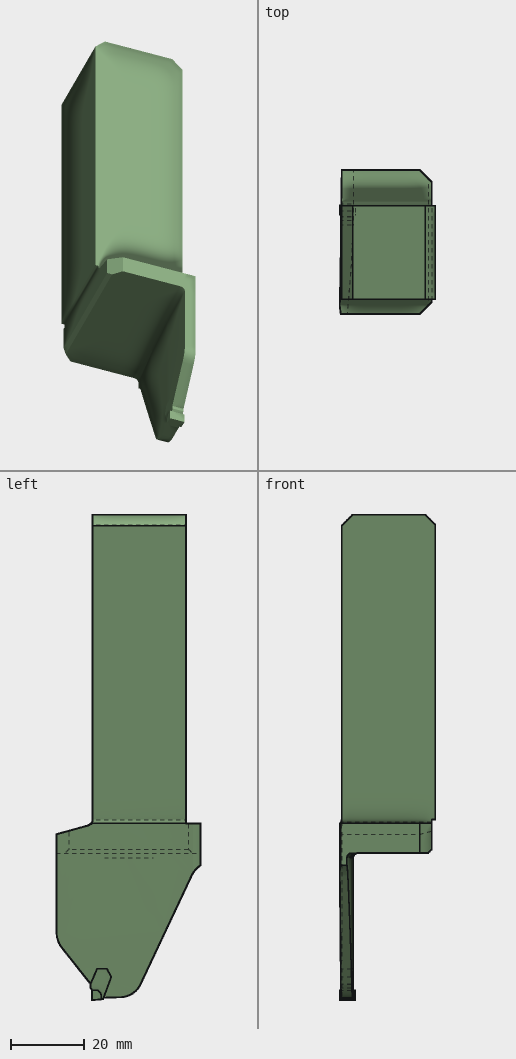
import cadquery as cq

TOTAL_HEIGHT = 131.7
SHANK_SIZE = 25.4
SHANK_LEFT = 0.5
SHANK_FRONT = 4.0
SHANK_BOTTOM = 49.0
LEFT_TOP_CHAMFER = 3.0
RIGHT_TOP_CHAMFER = 2.8
SHANK_RIGHT = SHANK_LEFT + SHANK_SIZE
SHANK_BACK = SHANK_FRONT + SHANK_SIZE

HEAD_DEPTH = 39.1
HEAD_RIGHT = 25.0
HEAD_TOP = 48.0
HEAD_UNDERSIDE = 39.9
HEAD_CORNER_CHAMFER = 3.3
HEAD_LOWER_CHAMFER = 1.0
BLADE_ROOT_RADIUS = 1.3
NECK_FOOT_LEFT = 0.3
NECK_FILLET_TOP = 48.5
SLOPE_TOP_Y = 30.5
SLOPE_TOP_Z = 47.4

BLADE_LEFT_FRONT = 0.3
BLADE_LEFT_BEVEL = 0.0
FRONT_BEVEL_DEPTH = 2.1
BLADE_LEFT_MIDDLE = 0.33
BLADE_LEFT_BACK = 0.5
BLADE_RIGHT_FRONT = 2.0
BLADE_RIGHT_MIDDLE = 3.4
BLADE_RIGHT_BACK = 3.7

INSERT_LEFT = BLADE_LEFT_BACK
INSERT_RIGHT = 3.7
TIP_LEFT = 0.0
TIP_RIGHT = 4.2
TIP_BACK = 29.5
TIP_TOP = 2.8
TIP_FRONT = 26.5
TIP_FRONT_BOTTOM = 0.3


def side_profile():
    """Outline of the head and blade in the YZ plane."""
    return (
        cq.Workplane("YZ")
        .moveTo(0, HEAD_TOP)
        .lineTo(SHANK_BACK, HEAD_TOP)
        .lineTo(SLOPE_TOP_Y, SLOPE_TOP_Z)
        .lineTo(HEAD_DEPTH, 45.0)
        .lineTo(HEAD_DEPTH, 18.5)
        .threePointArc((38.7, 16.2), (37.5, 14.1))
        .lineTo(29.9, 4.5)
        .lineTo(TIP_FRONT, 0.7)
        .lineTo(21.6, 0.8)
        .threePointArc((18.5, 1.8), (16.3, 4.2))
        .lineTo(2.6, 33.3)
        .threePointArc((1.5, 35.3), (0, 36.6))
        .close()
    )


def plan_profile(right_edge):
    """Start an XY outline with the bevelled and bowed left face, then add the right edge, back to front."""
    outline = (
        cq.Workplane("XY")
        .moveTo(BLADE_LEFT_FRONT, 0)
        .lineTo(BLADE_LEFT_BEVEL, FRONT_BEVEL_DEPTH)
        .threePointArc((BLADE_LEFT_MIDDLE, HEAD_DEPTH / 2), (BLADE_LEFT_BACK, HEAD_DEPTH))
    )
    return right_edge(outline).close().extrude(HEAD_TOP)


def blade_right_edge(outline):
    return outline.lineTo(BLADE_RIGHT_BACK, HEAD_DEPTH).threePointArc(
        (BLADE_RIGHT_MIDDLE, HEAD_DEPTH / 2), (BLADE_RIGHT_FRONT, 0)
    )


def block_right_edge(outline):
    chamfer_start = HEAD_RIGHT - HEAD_CORNER_CHAMFER
    return (
        outline.lineTo(chamfer_start, HEAD_DEPTH)
        .lineTo(HEAD_RIGHT, HEAD_DEPTH - HEAD_CORNER_CHAMFER)
        .lineTo(HEAD_RIGHT, HEAD_CORNER_CHAMFER)
        .lineTo(chamfer_start, 0)
    )


def make_head():
    """Block and blade joined with a root fillet, trimmed to the side profile."""
    block_section = (
        cq.Workplane("XZ")
        .moveTo(0, HEAD_UNDERSIDE)
        .lineTo(HEAD_RIGHT - HEAD_LOWER_CHAMFER, HEAD_UNDERSIDE)
        .lineTo(HEAD_RIGHT, HEAD_UNDERSIDE + HEAD_LOWER_CHAMFER)
        .lineTo(HEAD_RIGHT, HEAD_TOP)
        .lineTo(0, HEAD_TOP)
        .close()
        .extrude(-HEAD_DEPTH)
    )
    block = plan_profile(block_right_edge).intersect(block_section)
    blade = plan_profile(blade_right_edge)
    blade_root = cq.selectors.BoxSelector(
        (BLADE_RIGHT_FRONT, 0, HEAD_UNDERSIDE - BLADE_ROOT_RADIUS / 2),
        (BLADE_RIGHT_BACK, HEAD_DEPTH, HEAD_UNDERSIDE + BLADE_ROOT_RADIUS / 2),
    )
    head = block.union(blade).edges(blade_root).fillet(BLADE_ROOT_RADIUS)
    return head.intersect(side_profile().extrude(HEAD_RIGHT))


def make_shank():
    """Bar with its neck, which is narrower on the right and flares slightly on the left."""
    return (
        cq.Workplane("XZ", origin=(0, SHANK_FRONT, 0))
        .moveTo(NECK_FOOT_LEFT, HEAD_TOP)
        .lineTo(SHANK_LEFT, SHANK_BOTTOM)
        .lineTo(SHANK_LEFT, TOTAL_HEIGHT - LEFT_TOP_CHAMFER)
        .lineTo(SHANK_LEFT + LEFT_TOP_CHAMFER, TOTAL_HEIGHT)
        .lineTo(SHANK_RIGHT - RIGHT_TOP_CHAMFER, TOTAL_HEIGHT)
        .lineTo(SHANK_RIGHT, TOTAL_HEIGHT - RIGHT_TOP_CHAMFER)
        .lineTo(SHANK_RIGHT, SHANK_BOTTOM)
        .lineTo(HEAD_RIGHT, SHANK_BOTTOM)
        .lineTo(HEAD_RIGHT, HEAD_TOP)
        .close()
        .extrude(-SHANK_SIZE)
    )


def make_neck_fillet():
    """Concave blend from the back of the shank onto the sloping back of the head."""
    return (
        cq.Workplane("YZ", origin=(BLADE_LEFT_BACK, 0, 0))
        .moveTo(SHANK_BACK, SLOPE_TOP_Z)
        .lineTo(SLOPE_TOP_Y, SLOPE_TOP_Z)
        .threePointArc((29.9, 47.8), (SHANK_BACK, NECK_FILLET_TOP))
        .close()
        .extrude(HEAD_RIGHT - BLADE_LEFT_BACK)
    )


def insert_prism(left, right):
    """Insert outline in the YZ plane, extruded between two X positions."""
    return (
        cq.Workplane("YZ", origin=(left, 0, 0))
        .moveTo(TIP_BACK, 0)
        .lineTo(TIP_BACK, TIP_TOP)
        .lineTo(29.9, 3.4)
        .lineTo(29.9, 4.3)
        .lineTo(28.0, 8.5)
        .lineTo(25.4, 8.5)
        .lineTo(24.2, 6.3)
        .lineTo(TIP_FRONT, TIP_FRONT_BOTTOM)
        .close()
        .extrude(right - left)
    )


def make_tip():
    """Wide cutting tip, bounded towards the insert body by a rounded face."""
    return (
        cq.Workplane("YZ", origin=(TIP_LEFT, 0, 0))
        .moveTo(TIP_BACK, 0)
        .lineTo(TIP_BACK, TIP_TOP)
        .lineTo(28.2, TIP_TOP)
        .threePointArc((27.3, 2.1), (27.0, 0.9))
        .lineTo(27.0, TIP_FRONT_BOTTOM)
        .close()
        .extrude(TIP_RIGHT - TIP_LEFT)
    )


def make_holder():
    pocket = insert_prism(TIP_LEFT, TIP_RIGHT)
    return make_head().union(make_shank()).union(make_neck_fillet()).cut(pocket)


def make_insert():
    return insert_prism(INSERT_LEFT, INSERT_RIGHT).union(make_tip())


holder = make_holder()
insert = make_insert()
result = cq.Compound.makeCompound([*holder.solids().vals(), *insert.solids().vals()])